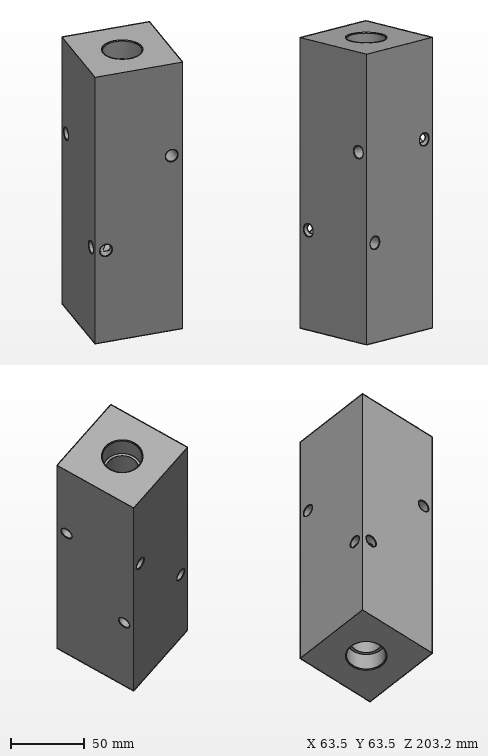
import cadquery as cq

height = 203.2
width = 63.5

bore_diameter = 22.1
port_floor_diameter = 26.0
port_depth = 13.8
port_taper = 0.5
port_chamfer = 0.6

hole_diameter = 8.7
hole_chamfer = 0.3
hole_offset = 23.8
hole_height = 31.7

half_height = height / 2


def revolve_about_z(profile):
    """Solid of revolution about Z from a closed outline of (radius, z) points."""
    return cq.Workplane("XZ").polyline(profile).close().revolve(360, (0, 0), (0, 1))


def port_cutter():
    """Upper port: flat floor, walls opening upwards and a chamfered mouth."""
    floor_radius = port_floor_diameter / 2
    neck_radius = floor_radius + port_taper
    floor_z = half_height - port_depth
    return revolve_about_z([
        (0, floor_z),
        (floor_radius, floor_z),
        (neck_radius, half_height - port_chamfer),
        (neck_radius + port_chamfer, half_height),
        (0, half_height),
    ])


def cross_hole_cutter():
    """Hole through the block width, standing along Z, with both rims chamfered."""
    radius = hole_diameter / 2
    rim_radius = radius + hole_chamfer
    end = width / 2
    return revolve_about_z([
        (0, -end),
        (rim_radius, -end),
        (radius, -end + hole_chamfer),
        (radius, end - hole_chamfer),
        (rim_radius, end),
        (0, end),
    ])


block = cq.Workplane("XY").box(width, width, height)

bore = cq.Workplane("XY").circle(bore_diameter / 2).extrude(half_height, both=True)
upper_port = port_cutter()
lower_port = upper_port.mirror("XY")
result = block.cut(bore).cut(upper_port).cut(lower_port)

hole_along_x = cross_hole_cutter().rotate((0, 0, 0), (0, 1, 0), 90)
hole_along_y = cross_hole_cutter().rotate((0, 0, 0), (1, 0, 0), 90)
for side in (1, -1):
    hole_z = side * hole_height
    result = result.cut(hole_along_x.translate((0, side * hole_offset, hole_z)))
    result = result.cut(hole_along_y.translate((-side * hole_offset, 0, hole_z)))